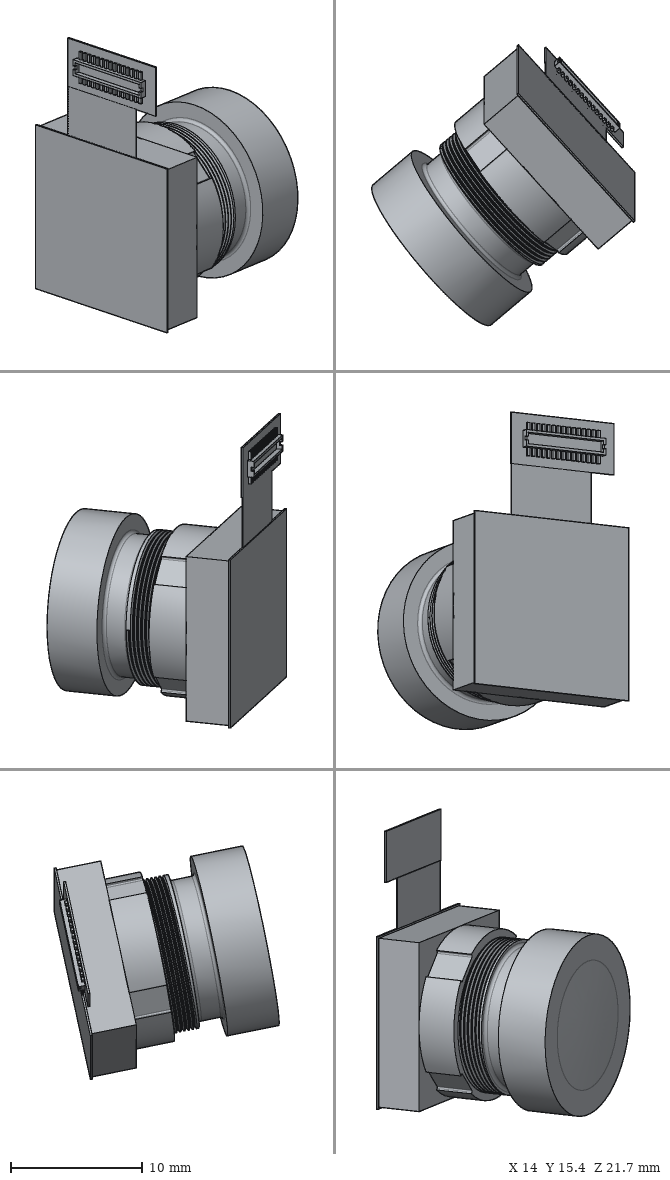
import cadquery as cq
import math


CUTTER_MARGIN = 0.22

HOLDER_WIDTH = 13.2
BOX_DEPTH = 3.45
MOUNT_DEPTH = 3.0
MOUNT_FRONT_Y = BOX_DEPTH + MOUNT_DEPTH
RECESS_COUNT = 4
RECESS_FLOOR_RADIUS = 6.25
RECESS_WIDTH = 2.44
RECESS_FILLET = 0.1

CAP_DIAMETER = 14.0
CAP_DEPTH = 4.02
DOME_DIAMETER = 10
DOME_HEIGHT = 0.3
NECK_DIAMETER = 11.0
NECK_LENGTH = 2.0
NECK_FILLET = 0.26
THREAD_DIAMETER = 11.98
THREAD_LENGTH = 2.05
THREAD_PITCH = 0.33
THREAD_DEPTH = 0.2
GROOVE_WIDTH = 0.26
GROOVE_FLOOR_WIDTH = 0.07
COLLAR_LENGTH = 0.15

BOARD_WIDTH = 13.48
BOARD_THICKNESS = 0.15
BOARD_TOP_Z = BOARD_WIDTH / 2

FLEX_WIDTH = 7.0
FLEX_THICKNESS = 0.09
FLEX_LENGTH = 8.0
PAD_WIDTH = 9.0
PAD_HEIGHT = 4.0
STIFFENER_THICKNESS = 0.07
FLEX_LEFT_X = -FLEX_WIDTH / 2
PAD_CENTER_X = FLEX_LEFT_X + PAD_WIDTH / 2
PAD_CENTER_Z = BOARD_TOP_Z + FLEX_LENGTH - PAD_HEIGHT / 2

CONNECTOR_LENGTH = 6.98
CONNECTOR_WIDTH = 1.3
CONNECTOR_HEIGHT = 0.52
CAVITY_LENGTH = 6.57
CAVITY_WIDTH = 0.9
CAVITY_DEPTH = 0.44
NOTCH_WIDTH = 0.3
NOTCH_DEPTH = 0.22
PIN_COUNT = 15
PIN_SPAN = 6.15
PIN_WIDTH = 0.22
PIN_THICKNESS = 0.2
PIN_ROW_WIDTH = 2.59


def block(width, depth, height, x, y, z):
    """Box centred on x and z that reaches from y toward -Y by depth."""
    return cq.Workplane("XY").box(width, depth, height).translate((x, y - depth / 2, z))


def make_recess():
    """Flat-floored slot with rounded inner corners, to be cut from the +X side of the mount."""
    depth = HOLDER_WIDTH / 2 - RECESS_FLOOR_RADIUS + CUTTER_MARGIN
    return (
        cq.Workplane("XY")
        .box(depth, MOUNT_DEPTH, RECESS_WIDTH)
        .edges("<X and |Y")
        .fillet(RECESS_FILLET)
        .translate((RECESS_FLOOR_RADIUS + depth / 2, BOX_DEPTH + MOUNT_DEPTH / 2, 0))
    )


def make_holder():
    box = block(HOLDER_WIDTH, BOX_DEPTH, HOLDER_WIDTH, 0, BOX_DEPTH, 0)
    mount = (
        cq.Workplane("XZ", origin=(0, MOUNT_FRONT_Y, 0))
        .circle(HOLDER_WIDTH / 2)
        .extrude(MOUNT_DEPTH)
    )
    step = 360 / RECESS_COUNT
    for index in range(RECESS_COUNT):
        mount = mount.cut(make_recess().rotate((0, 0, 0), (0, 1, 0), step * (index + 0.5)))
    return box.union(mount)


def make_thread_groove(start_y, length):
    """Right-hand groove that starts at start_y on the -X side and winds toward -Y."""
    crest = THREAD_DIAMETER / 2
    root = crest - THREAD_DEPTH
    clearance = 0.02
    flank_slope = (GROOVE_WIDTH - GROOVE_FLOOR_WIDTH) / 2 / THREAD_DEPTH
    half_width = GROOVE_WIDTH / 2 + clearance * flank_slope
    half_floor = GROOVE_FLOOR_WIDTH / 2
    path = cq.Wire.makeHelix(THREAD_PITCH, length, root)
    groove = (
        cq.Workplane("XZ")
        .polyline([
            (root, -half_floor),
            (root, half_floor),
            (crest + clearance, half_width),
            (crest + clearance, -half_width),
        ])
        .close()
        .sweep(cq.Workplane(path), isFrenet=True)
    )
    return (
        groove.rotate((0, 0, 0), (0, 0, 1), 180)
        .rotate((0, 0, 0), (1, 0, 0), 90)
        .translate((0, start_y, 0))
    )


def make_lens():
    thread_front_y = MOUNT_FRONT_Y + THREAD_LENGTH
    cap_back_y = thread_front_y + NECK_LENGTH
    cap_front_y = cap_back_y + CAP_DEPTH
    neck = NECK_DIAMETER / 2
    dome = DOME_DIAMETER / 2
    dome_sphere = (dome**2 + DOME_HEIGHT**2) / (2 * DOME_HEIGHT)
    half_dome = dome / 2
    half_dome_y = (
        cap_front_y + DOME_HEIGHT - dome_sphere + math.sqrt(dome_sphere**2 - half_dome**2)
    )
    fillet_middle = NECK_FILLET * (1 - math.sqrt(0.5))
    run_out = 2 * THREAD_PITCH
    thread_end_y = MOUNT_FRONT_Y - run_out
    body = (
        cq.Workplane("YZ")
        .moveTo(thread_end_y, 0)
        .lineTo(thread_end_y, THREAD_DIAMETER / 2)
        .lineTo(thread_front_y, THREAD_DIAMETER / 2)
        .lineTo(thread_front_y, neck + NECK_FILLET)
        .threePointArc(
            (thread_front_y + fillet_middle, neck + fillet_middle),
            (thread_front_y + NECK_FILLET, neck),
        )
        .lineTo(cap_back_y - NECK_FILLET, neck)
        .threePointArc(
            (cap_back_y - fillet_middle, neck + fillet_middle),
            (cap_back_y, neck + NECK_FILLET),
        )
        .lineTo(cap_back_y, CAP_DIAMETER / 2)
        .lineTo(cap_front_y, CAP_DIAMETER / 2)
        .lineTo(cap_front_y, dome)
        .threePointArc((half_dome_y, half_dome), (cap_front_y + DOME_HEIGHT, 0))
        .close()
        .revolve(360, (0, 0, 0), (1, 0, 0))
    )
    groove_start_y = thread_front_y - COLLAR_LENGTH
    groove_length = THREAD_LENGTH - COLLAR_LENGTH + run_out / 2
    threaded = body.cut(make_thread_groove(groove_start_y, groove_length))
    surplus_width = THREAD_DIAMETER + CUTTER_MARGIN
    surplus = block(surplus_width, run_out + CUTTER_MARGIN, surplus_width, 0, MOUNT_FRONT_Y, 0)
    return threaded.cut(surplus)


def make_board():
    return block(BOARD_WIDTH, BOARD_THICKNESS, BOARD_WIDTH, 0, 0, 0)


def make_flex():
    strip = block(FLEX_WIDTH, FLEX_THICKNESS, FLEX_LENGTH, 0, 0, BOARD_TOP_Z + FLEX_LENGTH / 2)
    pad = block(
        PAD_WIDTH, FLEX_THICKNESS + STIFFENER_THICKNESS, PAD_HEIGHT,
        PAD_CENTER_X, STIFFENER_THICKNESS, PAD_CENTER_Z,
    )
    return strip.union(pad)


def make_connector():
    """Open header with a notch in each end wall and a row of pins along each side."""
    base_y = -FLEX_THICKNESS
    top_y = base_y - CONNECTOR_HEIGHT

    def centered(width, depth, height, y, shift_x=0):
        return block(width, depth, height, PAD_CENTER_X + shift_x, y, PAD_CENTER_Z)

    connector = centered(CONNECTOR_LENGTH, CONNECTOR_HEIGHT, CONNECTOR_WIDTH, base_y)
    pitch = PIN_SPAN / (PIN_COUNT - 1)
    for index in range(PIN_COUNT):
        shift_x = index * pitch - PIN_SPAN / 2
        connector = connector.union(
            centered(PIN_WIDTH, PIN_THICKNESS, PIN_ROW_WIDTH, base_y, shift_x)
        )
    cavity = centered(CAVITY_LENGTH, CAVITY_DEPTH, CAVITY_WIDTH, top_y + CAVITY_DEPTH)
    notches = centered(CONNECTOR_LENGTH, NOTCH_DEPTH, NOTCH_WIDTH, top_y + NOTCH_DEPTH)
    return connector.cut(cavity).cut(notches)


lens = make_lens()
holder = make_holder()
board = make_board()
flex = make_flex()
connector = make_connector()

result = cq.Compound.makeCompound([
    lens.solids().val(),
    holder.solids().val(),
    board.solids().val(),
    flex.solids().val(),
    connector.solids().val(),
])